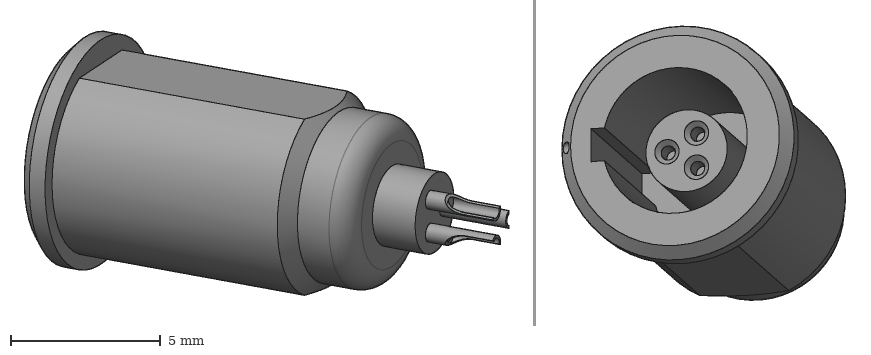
import cadquery as cq
import math

flange_chamfer = 0.4
flange_back = 1.0
insert_front = 1.6
bore_floor = 7.0
body_shoulder = 9.5
barrel_start = 10.0
barrel_end = 12.0
insert_end = 13.6
pin_end = 16.1

flange_diameter = 8.0
flange_radius = flange_diameter / 2
barrel_radius = 3.0
body_radius = barrel_radius + (barrel_start - body_shoulder)
body_flat_height = 3.14
barrel_fillet = 0.8
bore_radius = 2.5
keyway_reach = 2.9
keyway_width = 1.13
dimple_radius = 0.2

insert_radius = 1.4
pin_count = 3
pin_circle_radius = 0.68
pin_radius = 0.32
socket_radius = 0.24
socket_mouth_radius = 0.42
socket_mouth_depth = socket_mouth_radius - socket_radius
socket_depth = 0.97
pin_embed = 0.16
cup_radius = 0.23
cup_start = 14.38
cup_cut_offset = 0.06
cup_cut_start = 14.3
cup_cut_blend = 0.97


def cylinder(radius, start, end, y=0, z=0):
    """Cylinder along X between two stations, centred at (y, z)."""
    return cq.Workplane("YZ", origin=(start, y, z)).circle(radius).extrude(end - start)


def make_shell():
    flange = cylinder(flange_radius, 0, flange_back).faces("<X").chamfer(flange_chamfer)

    body_profile = [
        (flange_back, 0),
        (flange_back, body_radius),
        (body_shoulder, body_radius),
        (barrel_start, barrel_radius),
        (barrel_start, 0),
    ]
    body = cq.Workplane("XY").polyline(body_profile).close().revolve(360, (0, 0, 0), (1, 0, 0))
    flats = cq.Workplane("XY").box(2 * barrel_start, 2 * body_radius, 2 * body_flat_height)
    body = body.intersect(flats)

    barrel = cylinder(barrel_radius, flange_back, barrel_end).faces(">X").edges().fillet(barrel_fillet)
    return flange.union(body).union(barrel)


def make_bore():
    keyway = cq.Workplane("XY").box(
        bore_floor, keyway_reach, keyway_width, centered=(False, False, True)
    )
    return cylinder(bore_radius, 0, bore_floor).union(keyway)


def make_orientation_dimple():
    """Spherical dimple centred halfway up the flange chamfer, in line with the keyway."""
    middle = flange_chamfer / 2
    return cq.Workplane("XY", origin=(middle, flange_radius - middle, 0)).sphere(dimple_radius)


def around_axis(feature):
    """Repeat a feature evenly around the X axis."""
    pattern = feature
    for index in range(1, pin_count):
        pattern = pattern.union(feature.rotate((0, 0, 0), (1, 0, 0), index * 360 / pin_count))
    return pattern


def make_pin():
    """Contact on the +Y side whose solder cup opens outward."""
    pin = cylinder(pin_radius, insert_end - pin_embed, pin_end, pin_circle_radius)
    cup = cylinder(cup_radius, cup_start, pin_end, pin_circle_radius)

    cut_floor = pin_circle_radius - cup_cut_offset
    pin_top = pin_circle_radius + pin_radius
    rise = pin_top - cut_floor
    blend_length = math.sqrt(cup_cut_blend**2 - (cup_cut_blend - rise) ** 2)
    half_angle = math.asin(blend_length / cup_cut_blend) / 2
    flat_start = cup_cut_start + blend_length
    arc_middle = (
        flat_start - cup_cut_blend * math.sin(half_angle),
        cut_floor + cup_cut_blend * (1 - math.cos(half_angle)),
    )
    opening = (
        cq.Workplane("XY")
        .moveTo(cup_cut_start, pin_top)
        .threePointArc(arc_middle, (flat_start, cut_floor))
        .lineTo(pin_end, cut_floor)
        .lineTo(pin_end, pin_top)
        .close()
        .extrude(pin_radius, both=True)
    )
    return pin.cut(cup).cut(opening)


def make_socket():
    """Countersunk contact hole on the +Y side of the insert face."""
    hole = cylinder(socket_radius, insert_front, insert_front + socket_depth, pin_circle_radius)
    mouth = (
        cq.Workplane("YZ", origin=(insert_front, pin_circle_radius, 0))
        .circle(socket_mouth_radius)
        .workplane(offset=socket_mouth_depth)
        .circle(socket_radius)
        .loft(ruled=True)
    )
    return hole.union(mouth)


shell = make_shell().cut(make_bore()).cut(make_orientation_dimple())
insert = cylinder(insert_radius, insert_front, insert_end).cut(around_axis(make_socket()))
result = shell.union(insert).union(around_axis(make_pin()))